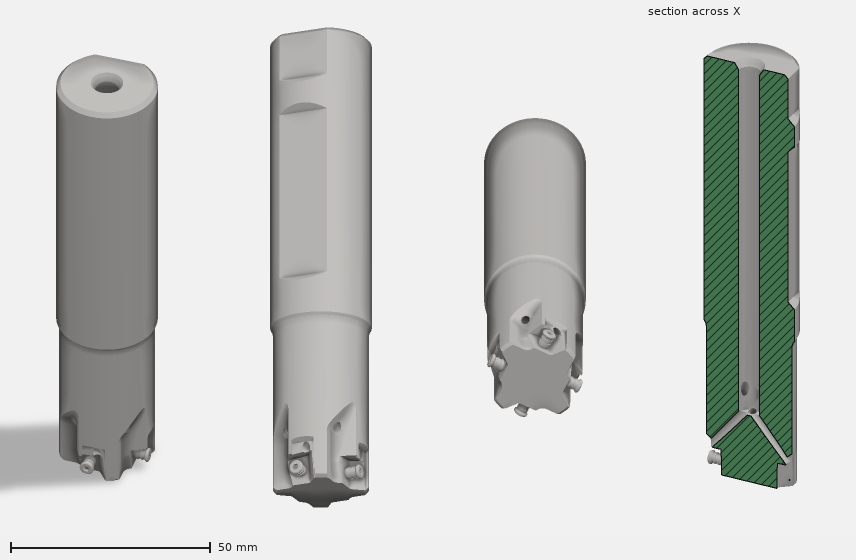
import cadquery as cq
import math


LENGTH = 119.5
STATIONS = 4
OVERCUT = 2.4

SHANK_RADIUS = 12.72
NECK_RADIUS = 12.0
SHANK_BOTTOM = 43.6
SHOULDER_HEIGHT = 0.7
SHOULDER_RADIUS = 12.3
NECK_ROUND_HEIGHT = 1.7
TOP_CHAMFER = 1.1
NOSE_CHAMFER = 0.8

FLAT_DEPTH = 1.8
FLAT_BOTTOM = 52.5
BAND_BOTTOM = 99.4
BAND_TOP = 105.1

BORE_RADIUS = 2.9
BORE_MOUTH_RADIUS = 4.1
BORE_MOUTH_DEPTH = 1.9
BORE_FLOOR = 19.1
COOLANT_RADIUS = 1.1
SEAT_JET_START = (0.0, -1.4, 19.7)
SEAT_JET_EXIT = (0.7, -10.8, 8.2)
GULLET_JET_START = (0.0, 0.0, 29.9)
GULLET_JET_EXIT = (-6.3, -7.2, 14.3)

GULLET_FLOOR = 6.15
GULLET_CORNER_X = -6.3
GULLET_WALL_ANGLE = 65.0
GULLET_ROUND = 2.3
GULLET_BEND = 5.3
GULLET_LEAN = 14.0
RAMP_START = 12.2
RAMP_ANGLE = 32.0
RAMP_ROUND = 4.1

SEAT_FLOOR = 7.8
SEAT_HEIGHT = 7.3
SEAT_LEFT = -6.6
SEAT_BEVEL_X = -4.9
SEAT_BEVEL_ANGLE = 15.0
SEAT_RIGHT = -0.1
SEAT_WALL_ANGLE = 52.0
SEAT_ROUND = 1.0
SEAT_LEAN = 5.0
LAND_DEPTH = 10.8
LAND_LEFT = -3.1
LAND_RIGHT = 3.1
LAND_FLAT_TOP = 9.9
LAND_TOP = 11.0
LAND_CORNER_ROUND = 1.2

SCREW_X = -1.8
SCREW_Z = 3.3
SHANK_TIP = 4.2
COLLARS = [(8.4, 9.1), (9.8, 10.2)]
HEAD_START = 10.6
HEAD_RIM = 11.1
HEAD_END = 11.7
HEAD_CHAMFER = 0.2
SCREW_SHANK_RADIUS = 1.3
SCREW_COLLAR_RADIUS = 1.49
SCREW_HEAD_RADIUS = 1.8
SOCKET_WIDTH = 1.7
SOCKET_DEPTH = 1.0

OUTSIDE = SHANK_RADIUS + OVERCUT


def around_axis(shape):
    """One copy of a station feature for every station."""
    step = 360.0 / STATIONS
    return [shape.rotate((0, 0, 0), (0, 0, 1), i * step) for i in range(STATIONS)]


def turned_blank():
    shoulder_bottom = SHANK_BOTTOM - SHOULDER_HEIGHT
    return (
        cq.Workplane("XZ")
        .lineTo(NECK_RADIUS - NOSE_CHAMFER, 0)
        .lineTo(NECK_RADIUS, NOSE_CHAMFER)
        .lineTo(NECK_RADIUS, shoulder_bottom - NECK_ROUND_HEIGHT)
        .tangentArcPoint((SHOULDER_RADIUS, shoulder_bottom), relative=False)
        .lineTo(SHANK_RADIUS, SHANK_BOTTOM)
        .lineTo(SHANK_RADIUS, LENGTH)
        .lineTo(0, LENGTH)
        .close()
        .revolve(360, (0, 0, 0), (0, 1, 0))
    )


def flat_cut(bottom, top):
    """Flat with 45 degree ends; bottom and top are its limits at the shank surface."""
    flat_y = SHANK_RADIUS - FLAT_DEPTH
    profile = [
        (flat_y, bottom + FLAT_DEPTH),
        (OUTSIDE, bottom - OVERCUT),
        (OUTSIDE, top + OVERCUT),
        (flat_y, top - FLAT_DEPTH),
    ]
    return cq.Workplane("YZ").polyline(profile).close().extrude(OUTSIDE, both=True)


def coolant_bore():
    profile = [
        (0, BORE_FLOOR),
        (BORE_RADIUS, BORE_FLOOR),
        (BORE_RADIUS, LENGTH - BORE_MOUTH_DEPTH),
        (BORE_MOUTH_RADIUS, LENGTH),
        (0, LENGTH),
    ]
    return cq.Workplane("XZ").polyline(profile).close().revolve(360, (0, 0, 0), (0, 1, 0))


def coolant_jet(start, exit_point):
    start = cq.Vector(*start)
    path = cq.Vector(*exit_point) - start
    length = path.Length + OVERCUT / 2
    return cq.Workplane(cq.Solid.makeCylinder(COOLANT_RADIUS, length, start, path))


def gullet_prism(bottom, top):
    """Sharp-cornered gullet cross-section, open outward and toward -X."""
    rise = OUTSIDE - GULLET_FLOOR
    wall_run = rise / math.tan(math.radians(GULLET_WALL_ANGLE))
    section = [
        (-OUTSIDE, -GULLET_FLOOR),
        (GULLET_CORNER_X, -GULLET_FLOOR),
        (GULLET_CORNER_X + wall_run, -OUTSIDE),
        (-OUTSIDE, -OUTSIDE),
    ]
    return cq.Workplane("XY").workplane(offset=bottom).polyline(section).close().extrude(top - bottom)


def round_gullet_corner(prism, height):
    """Round the floor-to-wall edge and the edges tangent to it."""
    corner = (GULLET_CORNER_X, -GULLET_FLOOR, height)
    return prism.edges(cq.NearestToPointSelector(corner)).fillet(GULLET_ROUND)


def gullet():
    ramp = math.radians(RAMP_ANGLE)
    curve_y = -GULLET_FLOOR - RAMP_ROUND * (1 - math.cos(ramp))
    curve_z = RAMP_START + RAMP_ROUND * math.sin(ramp)
    ramp_top = curve_z + (OUTSIDE + curve_y) / math.tan(ramp)
    under_ramp = (
        cq.Workplane("YZ")
        .moveTo(-GULLET_FLOOR, GULLET_BEND)
        .lineTo(-GULLET_FLOOR, RAMP_START)
        .tangentArcPoint((curve_y, curve_z), relative=False)
        .lineTo(-OUTSIDE, ramp_top)
        .lineTo(-OUTSIDE, GULLET_BEND)
        .close()
        .extrude(OUTSIDE, both=True)
    )
    upper = gullet_prism(GULLET_BEND, ramp_top).intersect(under_ramp)
    upper = round_gullet_corner(upper, (GULLET_BEND + RAMP_START) / 2)

    lower = round_gullet_corner(gullet_prism(-OVERCUT, GULLET_BEND + OVERCUT), GULLET_BEND / 2)
    pivot = (GULLET_CORNER_X, 0, GULLET_BEND)
    lower = lower.rotate(pivot, (GULLET_CORNER_X, 1, GULLET_BEND), -GULLET_LEAN)
    return upper, lower


def insert_seat():
    """Leaning pocket with a sloped back wall and a bevel toward the gullet."""
    bevel_drop = (SEAT_BEVEL_X - SEAT_LEFT) * math.tan(math.radians(SEAT_BEVEL_ANGLE))
    wall_run = (OUTSIDE - SEAT_FLOOR) / math.tan(math.radians(SEAT_WALL_ANGLE))
    section = [
        (SEAT_LEFT, -SEAT_FLOOR + bevel_drop),
        (SEAT_BEVEL_X, -SEAT_FLOOR),
        (SEAT_RIGHT, -SEAT_FLOOR),
        (SEAT_RIGHT + wall_run, -OUTSIDE),
        (SEAT_LEFT, -OUTSIDE),
    ]
    seat = cq.Workplane("XY").workplane(offset=-OVERCUT).polyline(section).close()
    seat = seat.extrude(SEAT_HEIGHT + OVERCUT)
    floor_corner = (SEAT_RIGHT, -SEAT_FLOOR, SEAT_HEIGHT / 2)
    seat = seat.edges(cq.NearestToPointSelector(floor_corner)).fillet(SEAT_ROUND)
    pivot = (SEAT_RIGHT, 0, SEAT_HEIGHT)
    return seat.rotate(pivot, (SEAT_RIGHT, 1, SEAT_HEIGHT), -SEAT_LEAN)


def seat_land():
    """Flat land around the seat, sloping out to the surface at its top."""
    profile = [
        (-LAND_DEPTH, -OVERCUT),
        (-LAND_DEPTH, LAND_FLAT_TOP),
        (-NECK_RADIUS, LAND_TOP),
        (-OUTSIDE, LAND_TOP),
        (-OUTSIDE, -OVERCUT),
    ]
    under_slope = cq.Workplane("YZ").polyline(profile).close().extrude(OUTSIDE, both=True)
    outline = (
        cq.Workplane("XZ")
        .moveTo(LAND_LEFT, -OVERCUT)
        .lineTo(LAND_LEFT, LAND_TOP - LAND_CORNER_ROUND)
        .radiusArc((LAND_LEFT + LAND_CORNER_ROUND, LAND_TOP), LAND_CORNER_ROUND)
        .lineTo(LAND_RIGHT, LAND_TOP)
        .lineTo(LAND_RIGHT, -OVERCUT)
        .close()
    )
    return outline.extrude(OUTSIDE).intersect(under_slope)


def on_screw_axis(shape):
    """Move a shape built along +Z so that it points along -Y at the screw's place."""
    return shape.rotate((0, 0, 0), (1, 0, 0), 90).translate((SCREW_X, 0, SCREW_Z))


def disc(start, end, radius):
    return cq.Workplane("XY").workplane(offset=start).circle(radius).extrude(end - start)


def screw_hole():
    return on_screw_axis(disc(SHANK_TIP, OUTSIDE, SCREW_SHANK_RADIUS))


def clamp_screw():
    screw = disc(SHANK_TIP, HEAD_END, SCREW_SHANK_RADIUS)
    for start, end in COLLARS:
        screw = screw.union(disc(start, end, SCREW_COLLAR_RADIUS))
    head_profile = [
        (0, HEAD_START),
        (SCREW_SHANK_RADIUS, HEAD_START),
        (SCREW_HEAD_RADIUS, HEAD_RIM),
        (SCREW_HEAD_RADIUS, HEAD_END - HEAD_CHAMFER),
        (SCREW_HEAD_RADIUS - HEAD_CHAMFER, HEAD_END),
        (0, HEAD_END),
    ]
    head = cq.Workplane("XZ").polyline(head_profile).close().revolve(360, (0, 0, 0), (0, 1, 0))
    socket = cq.Workplane("XY").workplane(offset=HEAD_END - SOCKET_DEPTH).polygon(6, SOCKET_WIDTH)
    return on_screw_axis(screw.union(head).cut(socket.extrude(SOCKET_DEPTH)))


def cutter_body():
    body = turned_blank()
    body = body.cut(flat_cut(FLAT_BOTTOM, BAND_BOTTOM))
    body = body.cut(flat_cut(BAND_TOP, LENGTH + 2 * FLAT_DEPTH))
    body = body.faces(">Z").edges().chamfer(TOP_CHAMFER)
    body = body.cut(coolant_bore())

    station_cuts = [
        *gullet(),
        insert_seat(),
        seat_land(),
        screw_hole(),
        coolant_jet(SEAT_JET_START, SEAT_JET_EXIT),
        coolant_jet(GULLET_JET_START, GULLET_JET_EXIT),
    ]
    for cut in station_cuts:
        for copy in around_axis(cut):
            body = body.cut(copy)
    return body


body = cutter_body().solids()
screws = around_axis(clamp_screw().solids())
result = cq.Compound.makeCompound([body.val(), *[screw.val() for screw in screws]])